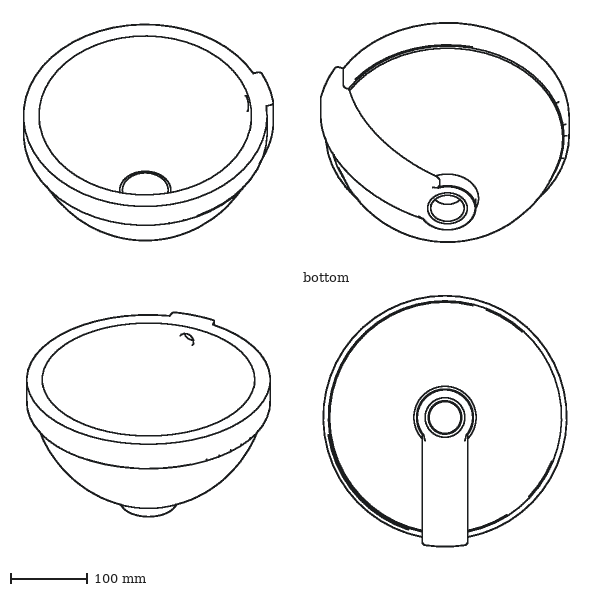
import cadquery as cq
import math

height = 190.0

rim_radius = 160.0
rim_height = 40.2
rim_fillet = 5.0
rim_root_flare = 1.5
rim_bottom = height - rim_height

shell_top_radius = 151.5
shell_top = 147.0
shell_middle_radius = 114.0
shell_middle = 71.0

neck_radius = 37.3
neck_top = 12.0
neck_flare_radius = 41.0
neck_flare_top = 20.8
neck_flare_middle_radius = 38.0
neck_flare_middle = 16.8
spout_chamfer = 1.0

hollow_radius = 139.5
hollow_depth = 148.5

channel_width = 60.0
channel_radius = 170.0
channel_straight_height = 39.5
channel_arc_radius = 152.0
channel_fillet = 5.0
overflow_diameter = 20.0
overflow_depth_below_rim = 21.5
overflow_lip_fillet = 1.5
overflow_end_y = 158.3

flange_diameter = 67.3
flange_thickness = 5.0
flange_fillet = 1.3
flange_rise = 1.0
tube_diameter = 52.0
tube_bore = 44.0
plug_diameter = 60.0
plug_edge_height = 1.5
plug_dome_height = 4.5
plug_seat_depth = 1.5
stem_diameter = 42.0
stem_length = 6.5

drain_level = height - hollow_depth
flange_top = drain_level + flange_rise
flange_bottom = flange_top - flange_thickness
plug_seat = flange_top - plug_seat_depth


def cylinder(diameter, bottom, top):
    return cq.Workplane("XY").workplane(offset=bottom).circle(diameter / 2).extrude(top - bottom)


def make_shell():
    """Solid of revolution: rim band, rounded shell and spout."""
    return (
        cq.Workplane("XZ")
        .moveTo(0, 0)
        .lineTo(neck_radius - spout_chamfer, 0)
        .lineTo(neck_radius, spout_chamfer)
        .lineTo(neck_radius, neck_top)
        .threePointArc((neck_flare_middle_radius, neck_flare_middle), (neck_flare_radius, neck_flare_top))
        .threePointArc((shell_middle_radius, shell_middle), (shell_top_radius, shell_top))
        .lineTo(shell_top_radius + rim_root_flare, rim_bottom)
        .lineTo(rim_radius - rim_fillet, rim_bottom)
        .radiusArc((rim_radius, rim_bottom + rim_fillet), -rim_fillet)
        .lineTo(rim_radius, height)
        .lineTo(0, height)
        .close()
        .revolve()
    )


def make_channel():
    """Overflow channel: a slice of a larger round body, with rounded outer edges."""
    arc_top = height - channel_straight_height
    arc_center_radius = channel_radius - channel_arc_radius
    arc_end_radius = arc_center_radius + math.sqrt(channel_arc_radius**2 - arc_top**2)
    middle_angle = math.radians(45)
    arc_middle = (
        arc_center_radius + channel_arc_radius * math.cos(middle_angle),
        arc_top - channel_arc_radius * math.sin(middle_angle),
    )
    body = (
        cq.Workplane("XZ")
        .moveTo(0, 0)
        .lineTo(arc_end_radius, 0)
        .threePointArc(arc_middle, (channel_radius, arc_top))
        .lineTo(channel_radius, height)
        .lineTo(0, height)
        .close()
        .revolve()
    )
    slab = cq.Workplane("XY").box(channel_width, channel_radius, height, centered=(True, False, False))
    channel = body.intersect(slab)
    outer_edges = channel.faces("<X or >X").edges("not(<Y or >Z or <Z)")
    return channel.newObject(outer_edges.vals()).fillet(channel_fillet)


def make_hollow():
    flange_radius = flange_diameter / 2
    radial_span = hollow_radius - flange_radius
    arc_radius = (radial_span**2 + hollow_depth**2) / (2 * radial_span)
    return (
        cq.Workplane("XZ")
        .moveTo(0, height)
        .lineTo(hollow_radius, height)
        .radiusArc((flange_radius, drain_level), arc_radius)
        .lineTo(0, drain_level)
        .close()
        .revolve()
    )


def make_overflow_hole():
    """Blind hole from the hollow into the channel, with a rounded lip."""
    level = height - overflow_depth_below_rim
    return cq.Workplane("XZ").center(0, level).circle(overflow_diameter / 2).extrude(-overflow_end_y)


def make_basin():
    basin = make_shell().union(make_channel()).cut(make_hollow()).cut(make_overflow_hole())
    lip_point = (0, hollow_radius, height - overflow_depth_below_rim)
    basin = basin.edges(cq.selectors.NearestToPointSelector(lip_point)).fillet(overflow_lip_fillet)
    return basin.cut(cylinder(flange_diameter, flange_bottom, flange_top)).cut(
        cylinder(tube_diameter, 0, flange_bottom)
    )


def make_drain_fitting():
    """Flanged tube lining the spout, with a shallow seat for the plug."""
    flange = cylinder(flange_diameter, flange_bottom, flange_top).faces(">Z").edges().fillet(flange_fillet)
    tube = cylinder(tube_diameter, 0, flange_bottom)
    seat = cylinder(plug_diameter, plug_seat, flange_top)
    return flange.union(tube).cut(cylinder(tube_bore, 0, flange_top)).cut(seat)


def make_plug():
    """Domed cap on a short stem."""
    edge_top = plug_seat + plug_edge_height
    cap_radius = plug_diameter / 2
    dome_radius = (cap_radius**2 + plug_dome_height**2) / (2 * plug_dome_height)
    cap = (
        cq.Workplane("XZ")
        .moveTo(0, plug_seat)
        .lineTo(cap_radius, plug_seat)
        .lineTo(cap_radius, edge_top)
        .radiusArc((0, edge_top + plug_dome_height), -dome_radius)
        .close()
        .revolve()
    )
    return cap.union(cylinder(stem_diameter, plug_seat - stem_length, plug_seat))


basin = make_basin()
drain_fitting = make_drain_fitting()
plug = make_plug()

result = cq.Compound.makeCompound([basin.val(), drain_fitting.val(), plug.val()])